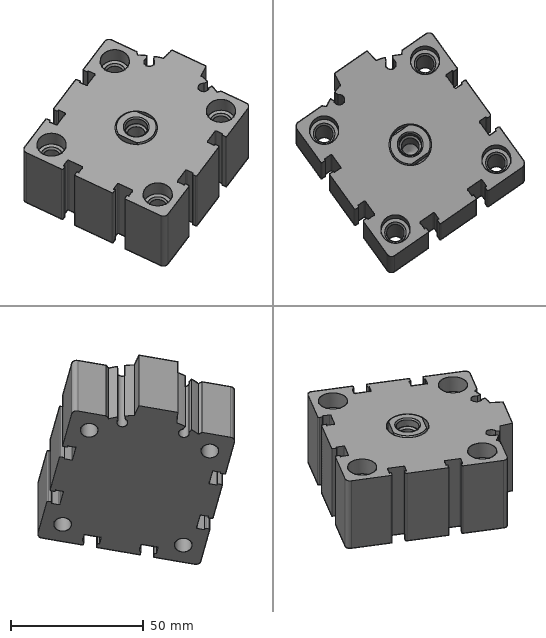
import cadquery as cq
import math

side = 63.0
half_side = side / 2
overall_length = 70.5
overall_height = 31.1
rod_rise = 0.5
housing_height = overall_height - rod_rise
corner_radius = 2.0

crown_radius = 35.0
notch_start = 18.55
tab_top_half_width = 7.55
tab_root_half_width = 8.25
tab_top = overall_length - half_side

groove_diameter = 4.0
groove_mouth = 2.8
groove_centre_radius = 31.95
groove_angle = 21.9

slot_offset = 11.0
slot_mouth = 5.15
slot_depth = 5.1
lip_depth = 2.0
upper_slot_width = 6.35
lower_slot_width = 6.6
lip_fillet = 0.5
edge_fillet = 0.3
lower_corner_fillet = 0.4

screw_offset = 23.35
screw_diameter = 6.6
counterbore_diameter = 11.0
counterbore_depth = 6.6
screw_countersink_diameter = 8.1

rod_diameter = 16.0
rod_depth = 21.15
rod_chamfer = 0.5
flat_spacing = 13.0
flat_length = 5.0
tap_diameter = 8.6
tap_chamfer = 0.55
tap_depth = 3.45
step_diameter = 8.4
step_cone_depth = 0.6
pilot_diameter = 6.6
pilot_depth = 15.0
tip_half_angle = 59.0


def housing_block():
    """Square block whose +Y side carries the notches, the crown arc and the tab."""
    reach = notch_start + half_side
    excess = notch_start**2 + half_side**2 - crown_radius**2
    notch_depth = (reach - math.sqrt(reach**2 - 2 * excess)) / 2
    notch_x = notch_start - notch_depth
    notch_y = half_side - notch_depth
    root_y = math.sqrt(crown_radius**2 - tab_root_half_width**2)
    arc_x = (notch_x + tab_root_half_width) / 2
    arc_y = math.sqrt(crown_radius**2 - arc_x**2)

    outline = (
        cq.Workplane("XY")
        .moveTo(-half_side, -half_side)
        .lineTo(half_side, -half_side)
        .lineTo(half_side, half_side)
        .lineTo(notch_start, half_side)
        .lineTo(notch_x, notch_y)
        .threePointArc((arc_x, arc_y), (tab_root_half_width, root_y))
        .lineTo(tab_top_half_width, tab_top)
        .lineTo(-tab_top_half_width, tab_top)
        .lineTo(-tab_root_half_width, root_y)
        .threePointArc((-arc_x, arc_y), (-notch_x, notch_y))
        .lineTo(-notch_start, half_side)
        .lineTo(-half_side, half_side)
        .close()
    )
    return outline.extrude(housing_height).edges("|Z and (<X or >X)").fillet(corner_radius)


def sensor_groove(direction):
    """Round groove with a narrower mouth; direction is its angle from +Y, in degrees."""
    bulb = (
        cq.Workplane("XY")
        .center(0, groove_centre_radius)
        .circle(groove_diameter / 2)
        .extrude(housing_height)
    )
    mouth_length = half_side
    mouth = (
        cq.Workplane("XY")
        .center(0, groove_centre_radius + mouth_length / 2)
        .rect(groove_mouth, mouth_length)
        .extrude(housing_height)
    )
    return bulb.union(mouth).rotate((0, 0, 0), (0, 0, 1), direction)


def round_lip_edge(slot, x, y, radius):
    """Fillet the vertical edge of a slot tool that stands at (x, y)."""
    edge_at_point = cq.selectors.NearestToPointSelector((x, y, housing_height / 2))
    return slot.edges("|Z").edges(edge_at_point).fillet(radius)


def t_slot(offset, direction, width, corner_fillet, rounded_lips):
    """T-slot in the -Y side at X = offset, turned about Z by direction, in degrees.

    rounded_lips lists the sides, -1 or 1 along X, whose lip is fully rounded.
    The other lips have only their outer edge lightly rounded.
    """
    outside = (
        cq.Workplane("XY")
        .center(0, -half_side - lip_depth / 2)
        .rect(width, lip_depth)
        .extrude(housing_height)
    )
    mouth = (
        cq.Workplane("XY")
        .center(0, -half_side + lip_depth / 2)
        .rect(slot_mouth, lip_depth)
        .extrude(housing_height)
    )
    cavity = (
        cq.Workplane("XY")
        .center(0, -half_side + (lip_depth + slot_depth) / 2)
        .rect(width, slot_depth - lip_depth)
        .extrude(housing_height)
    )
    cavity = cavity.edges("|Z and >Y").fillet(corner_fillet)
    slot = outside.union(mouth).union(cavity)
    for lip in (-1, 1):
        lip_x = lip * slot_mouth / 2
        if lip in rounded_lips:
            slot = round_lip_edge(slot, lip_x, -half_side, lip_fillet)
            slot = round_lip_edge(slot, lip_x, lip_depth - half_side, lip_fillet)
        else:
            slot = round_lip_edge(slot, lip_x, -half_side, edge_fillet)
    return slot.translate((offset, 0, 0)).rotate((0, 0, 0), (0, 0, 1), direction)


def screw_hole_tool():
    """Counterbore, countersink and through hole as one cutting tool."""
    floor_z = housing_height - counterbore_depth
    countersink_depth = (screw_countersink_diameter - screw_diameter) / 2
    return (
        cq.Workplane("XZ")
        .lineTo(screw_diameter / 2, 0)
        .lineTo(screw_diameter / 2, floor_z - countersink_depth)
        .lineTo(screw_countersink_diameter / 2, floor_z)
        .lineTo(counterbore_diameter / 2, floor_z)
        .lineTo(counterbore_diameter / 2, housing_height)
        .lineTo(0, housing_height)
        .close()
        .revolve(360, (0, 0, 0), (0, 1, 0))
    )


def rod_cylinder():
    """Plain cylinder of the rod, from its buried end to its outer end."""
    return (
        cq.Workplane("XY")
        .workplane(offset=housing_height - rod_depth)
        .circle(rod_diameter / 2)
        .extrude(rod_depth + rod_rise)
    )


def build_housing():
    housing = housing_block()
    for direction in (-groove_angle, groove_angle):
        housing = housing.cut(sensor_groove(direction))
    for side_sign in (-1, 1):
        slot = t_slot(side_sign * slot_offset, 0, lower_slot_width, lower_corner_fillet, [side_sign])
        housing = housing.cut(slot)
    for side_sign in (-1, 1):
        upper_offset = side_sign * slot_offset
        direction = side_sign * 90
        upper_slot = t_slot(upper_offset, direction, upper_slot_width, edge_fillet, [])
        lower_slot = t_slot(-upper_offset, direction, lower_slot_width, lower_corner_fillet, [-1, 1])
        housing = housing.cut(upper_slot).cut(lower_slot)
    for x in (-screw_offset, screw_offset):
        for y in (-screw_offset, screw_offset):
            housing = housing.cut(screw_hole_tool().translate((x, y, 0)))
    return housing.cut(rod_cylinder())


def rod_hole_tool():
    """Tapped hole with a chamfered mouth, stepping down to a pilot with a conical tip."""
    tip_length = pilot_diameter / 2 / math.tan(math.radians(tip_half_angle))
    top = overall_height
    return (
        cq.Workplane("XZ")
        .moveTo(0, top)
        .lineTo(tap_diameter / 2 + tap_chamfer, top)
        .lineTo(tap_diameter / 2, top - tap_chamfer)
        .lineTo(tap_diameter / 2, top - tap_depth)
        .lineTo(step_diameter / 2, top - tap_depth)
        .lineTo(pilot_diameter / 2, top - tap_depth - step_cone_depth)
        .lineTo(pilot_diameter / 2, top - pilot_depth)
        .lineTo(0, top - pilot_depth - tip_length)
        .close()
        .revolve(360, (0, 0, 0), (0, 1, 0))
    )


def build_rod():
    rod = rod_cylinder().faces(">Z").chamfer(rod_chamfer)
    for sign in (-1, 1):
        flat = (
            cq.Workplane("XY")
            .workplane(offset=overall_height - flat_length)
            .center(0, sign * (flat_spacing + rod_diameter) / 2)
            .rect(rod_diameter, rod_diameter)
            .extrude(flat_length)
        )
        rod = rod.cut(flat)
    return rod.cut(rod_hole_tool())


housing = build_housing()
rod = build_rod()
result = cq.Compound.makeCompound([housing.val(), rod.val()])